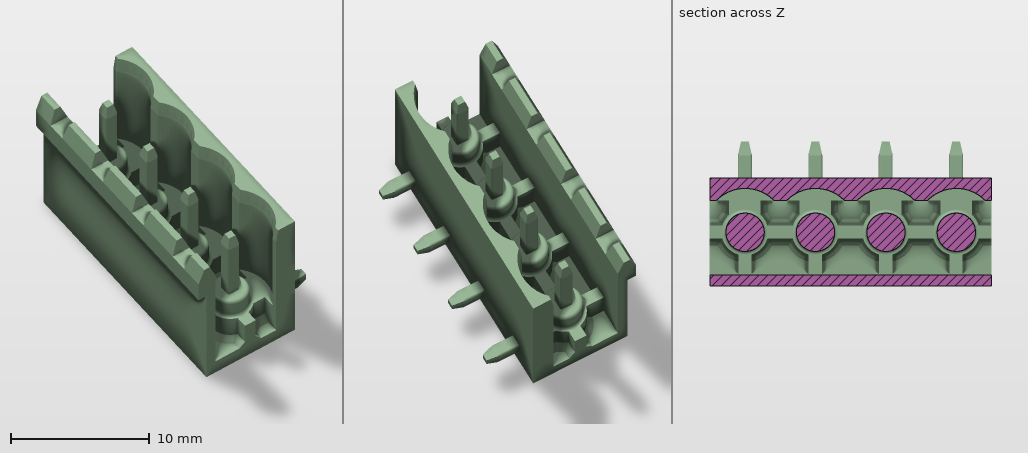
import cadquery as cq


length = 20.32
height = 12.0
pin_count = 4
pitch = length / pin_count
pin_xs = [pitch * (i + 0.5) for i in range(pin_count)]

rear_y = 3.95
rear_inner_y = 2.28
rear_bevel_depth = 1.22
rear_bevel_width = 0.18
front_y = -3.88
front_inner_y = -3.07

snap_y = -4.57
snap_bottom_z = 8.98
snap_bevel_depth = 1.28
snap_tip_inner_y = -3.58
snap_tip_outer_y = -4.08

notch_floor_width = 1.42
notch_top_width = 1.79

rear_floor_z = 1.08
front_floor_z = 1.22
ledge_z = 3.4
flare_top_z = 1.63
flare_width = 0.49
rib_width = 0.95
post_radius = 1.69
rear_block_width = 2.28

scoop_y = 0.22
scoop_radius = 2.93
scoop_top_radius = 3.13

collar_radius = 1.4
collar_top_z = 4.92
collar_fillet = 0.22

pin_width = 1.02
pin_edge_radius = 0.15
pin_tip_width = 0.57
pin_tip_length = 1.0
pin_top_z = 10.8
tail_z = 2.01
tail_length = 2.58


def extrude_along_x(points):
    """Extrude a (Y, Z) outline over the full length."""
    return cq.Workplane("YZ").polyline(points).close().extrude(length)


def make_housing():
    half_rib = rib_width / 2
    snap_bevel_z = height - snap_bevel_depth
    return extrude_along_x([
        (rear_y, 0),
        (rear_y, height),
        (rear_inner_y + rear_bevel_width, height),
        (rear_inner_y, height - rear_bevel_depth),
        (rear_inner_y, rear_floor_z),
        (half_rib + flare_width, rear_floor_z),
        (half_rib, flare_top_z),
        (half_rib, ledge_z),
        (-half_rib, ledge_z),
        (-half_rib, flare_top_z),
        (-half_rib - flare_width, front_floor_z),
        (front_inner_y, front_floor_z),
        (front_inner_y, snap_bevel_z),
        (snap_tip_inner_y, height),
        (snap_tip_outer_y, height),
        (snap_y, snap_bevel_z),
        (snap_y, snap_bottom_z),
        (front_y, snap_bottom_z),
        (front_y, 0),
    ])


def make_notch(x):
    """Tapered gap through the snap ridge."""
    half_floor = notch_floor_width / 2
    half_top = notch_top_width / 2
    floor_z = height - snap_bevel_depth
    outline = [
        (x - half_floor, floor_z),
        (x + half_floor, floor_z),
        (x + half_top, height),
        (x - half_top, height),
    ]
    return (
        cq.Workplane("XZ", origin=(0, front_inner_y, 0))
        .polyline(outline).close().extrude(front_inner_y - snap_y)
    )


def make_scoop(x):
    """Round hollow in the rear wall, widening to a cone near its top."""
    bevel_z = height - rear_bevel_depth
    outline = [
        (0, ledge_z),
        (scoop_radius, ledge_z),
        (scoop_radius, bevel_z),
        (scoop_top_radius, height),
        (0, height),
    ]
    scoop = cq.Workplane("XZ").polyline(outline).close().revolve(360, (0, 0), (0, 1))
    rear_half = cq.Workplane("XY").box(
        2 * scoop_top_radius, rear_y, height, centered=(True, False, False)
    )
    return scoop.translate((0, scoop_y, 0)).intersect(rear_half).translate((x, 0, 0))


def make_post_half(floor_z, turn):
    """Half of the round post, flared where it meets its floor; turn -1 is the front half, +1 the rear."""
    outline = [
        (0, 0),
        (post_radius + flare_width, 0),
        (post_radius + flare_width, floor_z),
        (post_radius, flare_top_z),
        (post_radius, ledge_z),
        (0, ledge_z),
    ]
    return cq.Workplane("XZ").polyline(outline).close().revolve(180, (0, 0), (0, turn))


def make_rear_block():
    """Block joining the post to the rear wall, flared at its sides."""
    half_width = rear_block_width / 2
    half_foot = half_width + flare_width
    outline = [
        (-half_foot, 0),
        (-half_foot, rear_floor_z),
        (-half_width, flare_top_z),
        (-half_width, ledge_z),
        (half_width, ledge_z),
        (half_width, flare_top_z),
        (half_foot, rear_floor_z),
        (half_foot, 0),
    ]
    return cq.Workplane("XZ").polyline(outline).close().extrude(-rear_inner_y)


def make_front_rib():
    """Straight rib joining the post to the front wall."""
    return cq.Workplane("XY").box(
        rib_width, -front_inner_y, ledge_z, centered=(True, False, False)
    ).translate((0, front_inner_y, 0))


def make_collar():
    """Round collar with a rounded top and a hollow fillet at its foot."""
    arc_offset = collar_fillet * (1 - 0.5 ** 0.5)
    outline = (
        cq.Workplane("XZ")
        .moveTo(0, flare_top_z)
        .lineTo(collar_radius + collar_fillet, flare_top_z)
        .lineTo(collar_radius + collar_fillet, ledge_z)
        .threePointArc(
            (collar_radius + arc_offset, ledge_z + arc_offset),
            (collar_radius, ledge_z + collar_fillet),
        )
        .lineTo(collar_radius, collar_top_z - collar_fillet)
        .threePointArc(
            (collar_radius - arc_offset, collar_top_z - arc_offset),
            (collar_radius - collar_fillet, collar_top_z),
        )
        .lineTo(0, collar_top_z)
        .close()
    )
    return outline.revolve(360, (0, 0), (0, 1))


def make_pin(pin_length):
    """Square pin rising from Z = 0, with rounded edges and a tapered tip."""
    shank_length = pin_length - pin_tip_length
    bar = (
        cq.Workplane("XY").rect(pin_width, pin_width).extrude(pin_length)
        .edges("|Z").fillet(pin_edge_radius)
    )
    shank = cq.Workplane("XY").rect(pin_width, pin_width).extrude(shank_length)
    taper = (
        shank.faces(">Z").workplane()
        .rect(pin_width, pin_width)
        .workplane(offset=pin_tip_length)
        .rect(pin_tip_width, pin_tip_width)
        .loft(ruled=True)
    )
    return bar.intersect(taper)


def make_contact():
    """One pin with its tail, collar and the ledge around it."""
    upright = make_pin(pin_top_z - tail_z).translate((0, 0, tail_z))
    tail = (
        make_pin(rear_y + tail_length)
        .rotate((0, 0, 0), (1, 0, 0), -90)
        .translate((0, 0, tail_z))
    )
    return (
        make_post_half(front_floor_z, turn=-1)
        .union(make_post_half(rear_floor_z, turn=1))
        .union(make_rear_block())
        .union(make_front_rib())
        .union(make_collar())
        .union(upright)
        .union(tail)
    )


result = make_housing()
for pin_x in pin_xs:
    result = result.cut(make_notch(pin_x)).cut(make_scoop(pin_x))

contact = make_contact()
for pin_x in pin_xs:
    result = result.union(contact.translate((pin_x, 0, 0)))